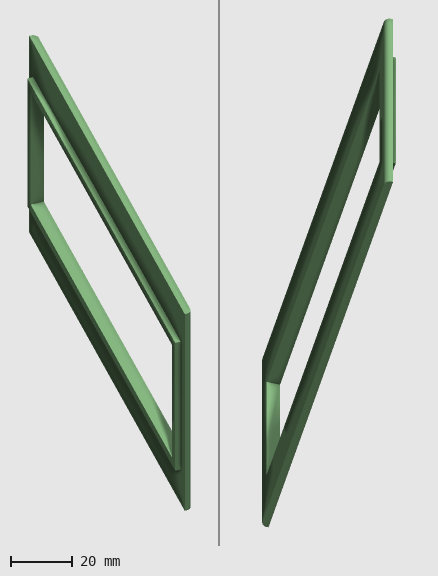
import cadquery as cq

plate_width = 151.0
plate_height = 82.0
total_depth = 4.5
plate_thickness = 2.5
end_radius = 2.0
rim_width = 143.5
rim_height = 53.3
rim_wall = 3.2

opening_width = rim_width - 2 * rim_wall
opening_height = rim_height - 2 * rim_wall


def front_block(width, height, depth):
    """Centred block with its front face on Y = 0, reaching back to Y = depth."""
    return cq.Workplane("XY").box(width, depth, height).translate((0, depth / 2, 0))


rim = front_block(rim_width, rim_height, total_depth)

rim_projection = total_depth - plate_thickness
plate = (
    front_block(plate_width, plate_height, plate_thickness)
    .edges("|Z and >Y")
    .fillet(end_radius)
    .translate((0, rim_projection, 0))
)

window = front_block(opening_width, opening_height, total_depth)

result = plate.union(rim).cut(window)